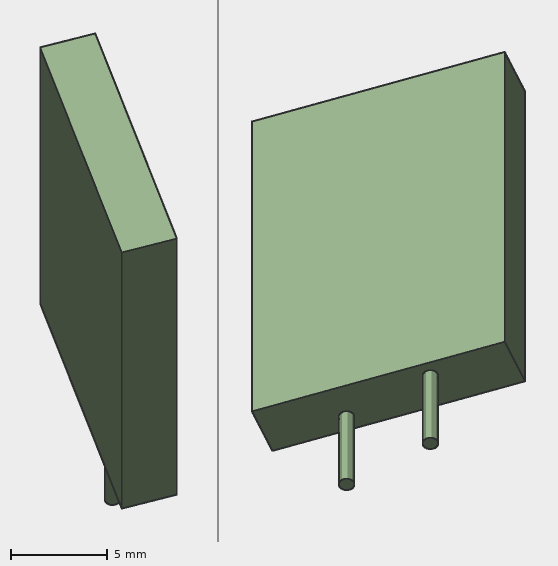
import cadquery as cq

total_height = 27.1
body_width = 14.0
body_depth = 3.0
pin_length = 5.12
body_height = total_height - pin_length

pin_diameter = 0.8
pin_pitch_x = 5.1
pin_pitch_y = 1.2
pin_sides = (-1, 1)


def make_body():
    """Plain rectangular block standing on the plane Z = 0."""
    return cq.Workplane("XY").box(body_width, body_depth, body_height, centered=(True, True, False))


def make_pin(x, y):
    """Round lead hanging from the underside."""
    return cq.Workplane("XY").center(x, y).circle(pin_diameter / 2).extrude(-pin_length)


body = make_body()

pins = [
    make_pin(side * pin_pitch_x / 2, -side * pin_pitch_y / 2)
    for side in pin_sides
]

result = cq.Compound.makeCompound([body.val(), *[pin.val() for pin in pins]])